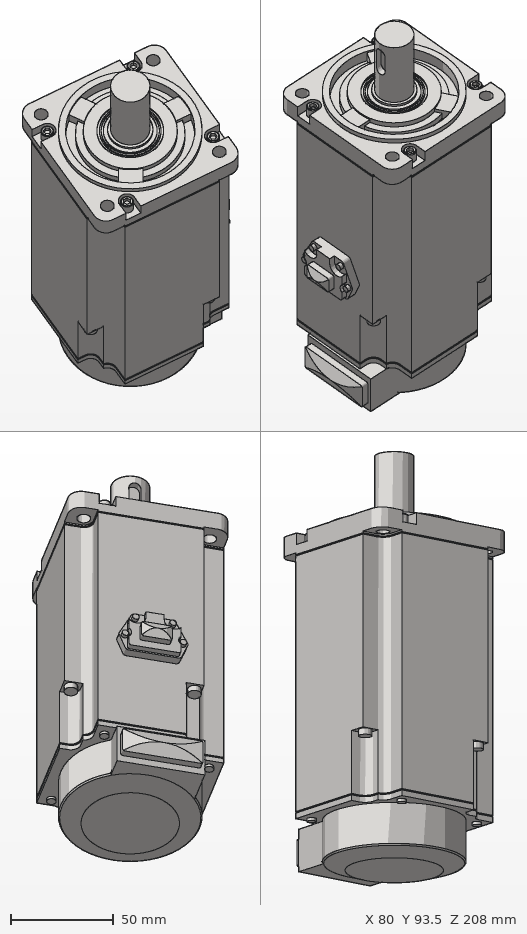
import cadquery as cq
import math


total_height = 208.0
flange_top = 168.5
pilot_top = 171.0
flange_bottom = 158.5
body_bottom = 25.0

width = 80.0
overall_depth = 93.5
half_width = width / 2
flange_corner_radius = 6.7
mount_hole_offset = 31.6
mount_hole_radius = 3.3
notch_wall = 26.6
notch_fillet = 5.0
joint_levels = (157.0, 27.9)
joint_height = 0.6
joint_depth = 0.2

pilot_radius = 35.0
recess_radius = 31.5
recess_floor = 164.7
step_radius = 26.6
step_top = 168.0
hub_radius = 22.9
hub_top = 170.8
rib_top = 170.0
rib_width = 12.0
rib_angles = (90, 210, 330)
seal_rings = ((16.2, 15.0), (14.1, 13.0))
seal_depth = 0.8
collar_radius = 11.0
collar_top = 172.0

shaft_radius = 9.5
key_width = 6.0
key_depth = 3.5
key_top = 203.8
key_bottom = 188.0

flange_screw_along = 21.8
flange_screw_out = 34.0
flange_slot_width = 8.3
flange_slot_floor = 162.7
flange_head_radius = 3.1
flange_head_top = 168.0
flange_head_chamfer = 0.5
socket_across_corners = 3.7
socket_depth = 2.0
screw_tip_radius = 2.3
screw_tip_bottom = 23.5

channel_wall = 17.7
channel_floor = 30.8
channel_fillet = 5.0
channel_top = 60.1
rear_screw_along = 22.9
rear_screw_out = 35.8
rear_head_radius = 3.3
rear_head_height = 3.1

cap_radius = 35.0
cap_edge_top = 4.4
cap_edge_bottom = 3.5
cap_edge_radius = 34.3
cap_end_radius = 24.0

box_center = -4.5
box_half_width = 22.0
box_back = 41.4
box_fillet = 1.7
box_plug_half_width = 20.2
box_plug_z = (7.3, 21.2)
box_plug_shoulder = 45.1
box_plug_tip = 47.8

base_outline = ((10.6, 93.5), (17.5, 80.0), (13.7, 70.7))
base_back = 44.7
base_fillet = 2.0
cover_half_width = 13.0
cover_z = (71.5, 93.5)
cover_fillet = 1.2
cover_back = 47.8
cover_screws = ((9.4, 90.5, 4.8), (14.5, 79.5, 2.7))
cover_screw_radius = 1.7
cover_screw_back = 46.8
power_plug_half_width = 7.7
power_plug_z = (75.5, 84.5)
power_plug_shoulder = 51.4
power_plug_tip = overall_depth - half_width

plug_edge_fillet = 1.2

quarter_turns = (0, 90, 180, 270)


def cylinder(radius, bottom, top, x=0.0, y=0.0):
    return cq.Workplane("XY", origin=(x, y, bottom)).circle(radius).extrude(top - bottom)


def block(x_range, y_range, z_range):
    """Box between the given lower and upper limits on each axis."""
    corner = (x_range[0], y_range[0], z_range[0])
    size_x = x_range[1] - x_range[0]
    size_y = y_range[1] - y_range[0]
    size_z = z_range[1] - z_range[0]
    return cq.Workplane("XY", origin=corner).box(size_x, size_y, size_z, centered=False)


def on_four_sides(shape):
    """The shape together with its copies turned about the motor axis."""
    group = shape
    for angle in quarter_turns[1:]:
        group = group.union(shape.rotate((0, 0, 0), (0, 0, 1), angle))
    return group


def rear_channel(inset):
    """Channel open to -Y and to the corner notch, with its inner corner filleted."""
    x_range = (channel_wall - inset, half_width)
    y_range = (-width, -channel_floor + inset)
    channel = block(x_range, y_range, (0, channel_top))
    return channel.edges("|Z and <X and >Y").fillet(channel_fillet)


def body_section(bottom, top, inset=0.0):
    """Square column with its corner notches and rear screw channels, drawn in by the inset."""
    side = width - 2 * inset
    column = cq.Workplane("XY", origin=(0, 0, bottom)).rect(side, side).extrude(top - bottom)
    wall = notch_wall - inset
    notch = block((wall, width), (wall, width), (bottom, top))
    notch = notch.edges("|Z and <X and <Y").fillet(notch_fillet)
    return column.cut(on_four_sides(notch)).cut(on_four_sides(rear_channel(inset)))


def make_body():
    """Body with a shallow groove at the joint under the flange and at the end plate."""
    body = body_section(body_bottom, flange_bottom)
    for level in joint_levels:
        slice_outer = body_section(level, level + joint_height)
        slice_inner = body_section(level, level + joint_height, joint_depth)
        body = body.cut(slice_outer.cut(slice_inner))
    return body


def make_flange():
    flange = block((-half_width, half_width), (-half_width, half_width), (flange_bottom, flange_top))
    flange = flange.edges("|Z").fillet(flange_corner_radius)
    hole_pitch = 2 * mount_hole_offset
    flange = (
        flange.faces(">Z").workplane(origin=(0, 0, flange_top))
        .rect(hole_pitch, hole_pitch, forConstruction=True)
        .vertices().hole(2 * mount_hole_radius)
    )
    return flange.union(cylinder(pilot_radius, flange_top, pilot_top))


def make_recess():
    """Space to remove inside the pilot ring, leaving a stepped hub and three ribs."""
    recess = cylinder(recess_radius, recess_floor, pilot_top)
    recess = recess.cut(cylinder(step_radius, recess_floor, step_top))
    rib = block((0, pilot_radius), (-rib_width / 2, rib_width / 2), (recess_floor, rib_top))
    for angle in rib_angles:
        recess = recess.cut(rib.rotate((0, 0, 0), (0, 0, 1), angle))
    recess = recess.union(cylinder(hub_radius, rib_top, pilot_top))
    recess = recess.cut(cylinder(hub_radius, recess_floor, hub_top))
    for outer, inner in seal_rings:
        ring = cylinder(outer, hub_top - seal_depth, hub_top)
        recess = recess.union(ring.cut(cylinder(inner, hub_top - seal_depth, hub_top)))
    return recess


def make_shaft():
    shaft = cylinder(shaft_radius, flange_top, total_height)
    shaft = shaft.union(cylinder(collar_radius, flange_top, collar_top))
    key_length = key_top - key_bottom
    keyway = (
        cq.Workplane("XZ", origin=(0, shaft_radius, (key_top + key_bottom) / 2))
        .slot2D(key_length, key_width, 90).extrude(key_depth)
    )
    return shaft.cut(keyway)


def make_flange_slot():
    """Round-ended slot open to the +Y side."""
    radius = flange_slot_width / 2
    x = flange_screw_along
    slot = cylinder(radius, flange_slot_floor, flange_top, x, flange_screw_out)
    mouth = block((x - radius, x + radius), (flange_screw_out, width), (flange_slot_floor, flange_top))
    return slot.union(mouth)


def make_flange_screw():
    """Socket head in the slot, and the tip that shows below the body."""
    x, y = flange_screw_along, flange_screw_out
    head = cylinder(flange_head_radius, flange_slot_floor, flange_head_top, x, y)
    head = head.faces(">Z").chamfer(flange_head_chamfer)
    socket = (
        cq.Workplane("XY", origin=(x, y, flange_head_top))
        .polygon(6, socket_across_corners).extrude(-socket_depth)
    )
    tip = cylinder(screw_tip_radius, screw_tip_bottom, body_bottom, x, y)
    return head.cut(socket).union(tip)


def make_rear_screw():
    bottom = channel_top - rear_head_height
    return cylinder(rear_head_radius, bottom, channel_top, rear_screw_along, -rear_screw_out)


def make_cap():
    profile = [
        (0, 0),
        (cap_end_radius, 0),
        (cap_edge_radius, cap_edge_bottom),
        (cap_radius, cap_edge_top),
        (cap_radius, body_bottom),
        (0, body_bottom),
    ]
    return cq.Workplane("XZ").polyline(profile).close().revolve(360, (0, 0, 0), (0, 1, 0))


def make_plug(center, half_plug, z_range, root, shoulder, tip):
    """Plug pointing to +Y, with an arched crown in plan and a ridged crown in elevation."""
    bottom, top = z_range
    left, right = center - half_plug, center + half_plug
    plan = (
        cq.Workplane("XY", origin=(0, 0, bottom))
        .moveTo(left, root).lineTo(left, shoulder)
        .threePointArc((center, tip), (right, shoulder))
        .lineTo(right, root).close().extrude(top - bottom)
    )
    ridge = [(root, bottom), (shoulder, bottom), (tip, (bottom + top) / 2), (shoulder, top), (root, top)]
    elevation = cq.Workplane("YZ", origin=(left, 0, 0)).polyline(ridge).close().extrude(right - left)
    barrel = block((left, right), (root, tip), z_range).edges("|Y").fillet(plug_edge_fillet)
    return barrel.intersect(plan).intersect(elevation)


def make_cap_with_cable_box():
    """Rear cap with the cable box, filleted where the box sides leave the round wall."""
    x_range = (box_center - box_half_width, box_center + box_half_width)
    box = block(x_range, (0, box_back), (cap_edge_bottom, body_bottom))
    cap = make_cap().union(box)
    for x in x_range:
        y = math.sqrt(cap_radius**2 - x**2)
        lower = (x - box_fillet, y - box_fillet, cap_edge_top)
        upper = (x + box_fillet, y + box_fillet, body_bottom)
        meeting_edge = cq.selectors.BoxSelector(lower, upper)
        cap = cap.edges(meeting_edge).edges("|Z").fillet(box_fillet)
    plug = make_plug(
        box_center, box_plug_half_width, box_plug_z, box_back, box_plug_shoulder, box_plug_tip
    )
    return cap.union(plug)


def make_power_connector():
    """Base plate, screwed cover and plug on the +Y face of the body."""
    right_side = list(base_outline)
    left_side = [(-x, z) for x, z in reversed(base_outline)]
    base = (
        cq.Workplane("XZ", origin=(0, base_back, 0))
        .polyline(right_side + left_side).close().extrude(base_back - half_width)
        .edges("|Y").fillet(base_fillet)
    )
    cover = block((-cover_half_width, cover_half_width), (base_back, cover_back), cover_z)
    cover = cover.edges("|Y and <Z").fillet(cover_fillet)
    upper_x, upper_z, upper_clearance = cover_screws[0]
    post_half_width = upper_x - upper_clearance
    above_screws = block((-width, width), (base_back, cover_back), (upper_z, cover_z[1]))
    post = block((-post_half_width, post_half_width), (base_back, cover_back), cover_z)
    cover = cover.cut(above_screws).union(post)
    heads = []
    for side in (-1, 1):
        for x, z, clearance in cover_screws:
            pocket = cq.Workplane("XZ", origin=(side * x, cover_back, z)).circle(clearance)
            cover = cover.cut(pocket.extrude(cover_back - base_back))
            head = cq.Workplane("XZ", origin=(side * x, cover_screw_back, z)).circle(cover_screw_radius)
            heads.append(head.extrude(cover_screw_back - base_back))
    plug = make_plug(
        0, power_plug_half_width, power_plug_z, cover_back, power_plug_shoulder, power_plug_tip
    )
    connector = base.union(cover).union(plug)
    for head in heads:
        connector = connector.union(head)
    return connector


result = make_body().union(make_flange()).cut(make_recess())
result = result.cut(on_four_sides(make_flange_slot()))
result = result.union(on_four_sides(make_flange_screw())).union(on_four_sides(make_rear_screw()))
result = result.union(make_shaft())
result = result.union(make_cap_with_cable_box()).union(make_power_connector())